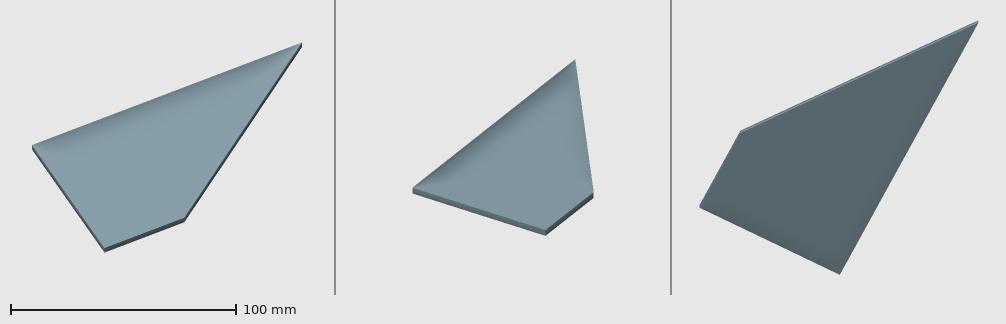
import cadquery as cq

width = 70.0
long_side = 135.0
short_side = 40.0
thickness = 3.0

outline = [
    (0, 0),
    (width, 0),
    (width, short_side),
    (0, long_side),
]

result = cq.Workplane("XY").polyline(outline).close().extrude(thickness)